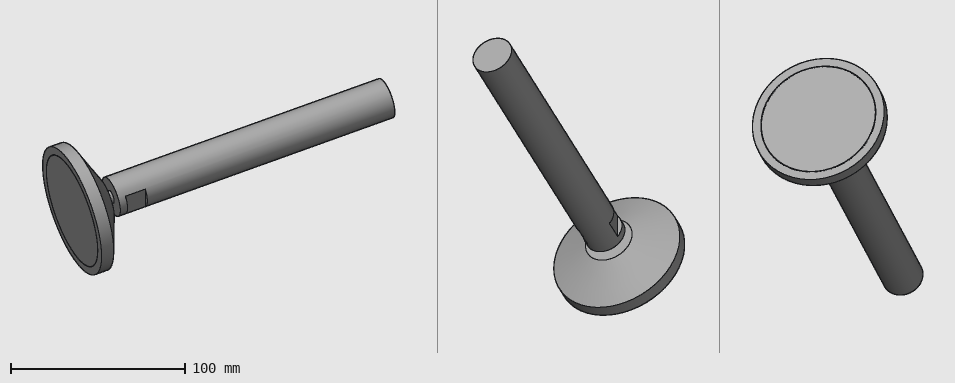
import cadquery as cq
import math

overall_length = 200.0
rim_height = 7.8
foot_height = 20.0
neck_start = 21.2
shaft_start = 25.0
flat_start = 29.5
flat_length = 12.5

foot_diameter = 78.0
foot_top_diameter = 28.8
groove_outer_diameter = 68.0
groove_inner_diameter = 67.5
groove_depth = 1.0

shaft_diameter = 24.0
across_flats = 18.5
neck_diameter = 7.8
ball_diameter = 18.0

ball_center = neck_start - math.sqrt(ball_diameter**2 - neck_diameter**2) / 2


def cylinder(diameter, start, length):
    """Cylinder on the Y axis, running from start toward +Y."""
    base = cq.Workplane("XZ", origin=(0, start, 0))
    return base.circle(diameter / 2).extrude(-length)


def make_ball():
    return cq.Workplane("XY").sphere(ball_diameter / 2).translate((0, ball_center, 0))


def make_foot():
    """Conical foot with a ball socket and a narrow ring groove in its underside."""
    profile = [
        (0, 0),
        (foot_diameter / 2, 0),
        (foot_diameter / 2, rim_height),
        (foot_top_diameter / 2, foot_height),
        (0, foot_height),
    ]
    foot = cq.Workplane("XY").polyline(profile).close().revolve(360, (0, 0), (0, 1))
    groove = cylinder(groove_outer_diameter, 0, groove_depth).cut(
        cylinder(groove_inner_diameter, 0, groove_depth)
    )
    return foot.cut(groove).cut(make_ball())


def make_spindle():
    """Round shaft with two wrench flats, a thin neck and a ball end."""
    shaft = cylinder(shaft_diameter, shaft_start, overall_length - shaft_start)
    flat_center = flat_start + flat_length / 2
    cutter_width = shaft_diameter - across_flats
    for side in (-1, 1):
        cutter = cq.Workplane("XY").box(cutter_width, flat_length, shaft_diameter)
        cutter_x = side * (across_flats + cutter_width) / 2
        shaft = shaft.cut(cutter.translate((cutter_x, flat_center, 0)))
    neck = cylinder(neck_diameter, ball_center, shaft_start - ball_center)
    return shaft.union(neck).union(make_ball())


foot = make_foot()
spindle = make_spindle()

result = cq.Compound.makeCompound([foot.val(), spindle.val()])